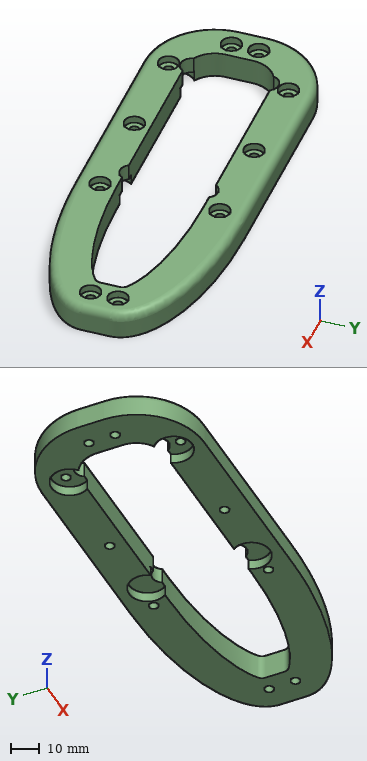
import cadquery as cq
import math

length = 162.0
width = 62.0
height = 10.0
top_round = 3.0

end_flat = 10.0
corner_radius = (width - end_flat) / 2
straight_end_x = 96.0
nose_fullness = 0.57

rim_width = 15.0
inner_nose_length = 53.5
inner_nose_round = 2.9

screw_inset = 9.0
screw_diameter = 3.4
head_diameter = 7.5
head_depth = 2.8
end_screw_pitch = 10.0

notch_xs = (24.8, 86.8)
notch_center_y = 14.0
notch_radius = 4.0
pocket_center_y = 20.0
pocket_radius = 7.0
pocket_depth = 3.9


def mirrored(x_positions, y):
    """Points at each X position, on both sides of the XZ plane."""
    return [(x, side * y) for x in x_positions for side in (-1, 1)]


def cylinders(points, radius, depth, bottom_z=0.0):
    """Upright cylinders standing on bottom_z at the given points."""
    return cq.Workplane("XY", origin=(0, 0, bottom_z)).pushPoints(points).circle(radius).extrude(depth)


def rim():
    """Solid plate with the outer outline and a rounded top edge."""
    side_y = width / 2
    flat_y = end_flat / 2
    side_handle_x = straight_end_x + nose_fullness * (length - straight_end_x)
    tip_handle_y = flat_y + nose_fullness * (side_y - flat_y)
    upper_nose = [(straight_end_x, side_y), (side_handle_x, side_y), (length, tip_handle_y), (length, flat_y)]
    lower_nose = [(x, -y) for x, y in reversed(upper_nose)]
    plate = (
        cq.Workplane("XY")
        .moveTo(corner_radius, side_y)
        .lineTo(straight_end_x, side_y)
        .bezier(upper_nose)
        .lineTo(length, -flat_y)
        .bezier(lower_nose)
        .lineTo(corner_radius, -side_y)
        .radiusArc((0, -flat_y), corner_radius)
        .lineTo(0, flat_y)
        .radiusArc((corner_radius, side_y), corner_radius)
        .close()
        .extrude(height)
    )
    return plate.faces(">Z").edges().fillet(top_round)


def opening():
    """Core of the central opening; a flat wall cuts off its nose ellipse and the corners are rounded."""
    side_y = width / 2 - rim_width
    flat_y = end_flat / 2
    start_x = rim_width
    end_x = length - rim_width
    inner_radius = corner_radius - rim_width
    cut_angle = math.acos((end_x - straight_end_x) / inner_nose_length)
    cut_degrees = math.degrees(cut_angle)
    cut_y = side_y * math.sin(cut_angle)
    core = (
        cq.Workplane("XY")
        .moveTo(corner_radius, side_y)
        .lineTo(straight_end_x, side_y)
        .ellipseArc(inner_nose_length, side_y, cut_degrees, 90, sense=-1, startAtCurrent=True)
        .lineTo(end_x, -cut_y)
        .ellipseArc(inner_nose_length, side_y, 270, 360 - cut_degrees, sense=-1, startAtCurrent=True)
        .lineTo(corner_radius, -side_y)
        .radiusArc((start_x, -flat_y), inner_radius)
        .lineTo(start_x, flat_y)
        .radiusArc((corner_radius, side_y), inner_radius)
        .close()
        .extrude(height)
    )
    return core.faces(">X").edges("|Z").fillet(inner_nose_round)


def notches():
    """Round notches through the full height and the wider pockets under them."""
    through = cylinders(mirrored(notch_xs, notch_center_y), notch_radius, height)
    pockets = cylinders(mirrored(notch_xs, pocket_center_y), pocket_radius, pocket_depth)
    return through.union(pockets)


def screw_holes():
    """Three screws along each long side and a pair at each end."""
    side_xs = (corner_radius, (corner_radius + straight_end_x) / 2, straight_end_x)
    end_xs = (screw_inset, length - screw_inset)
    points = mirrored(side_xs, width / 2 - screw_inset) + mirrored(end_xs, end_screw_pitch / 2)
    shanks = cylinders(points, screw_diameter / 2, height)
    heads = cylinders(points, head_diameter / 2, head_depth, height - head_depth)
    return shanks.union(heads)


result = rim().cut(opening()).cut(notches()).cut(screw_holes())